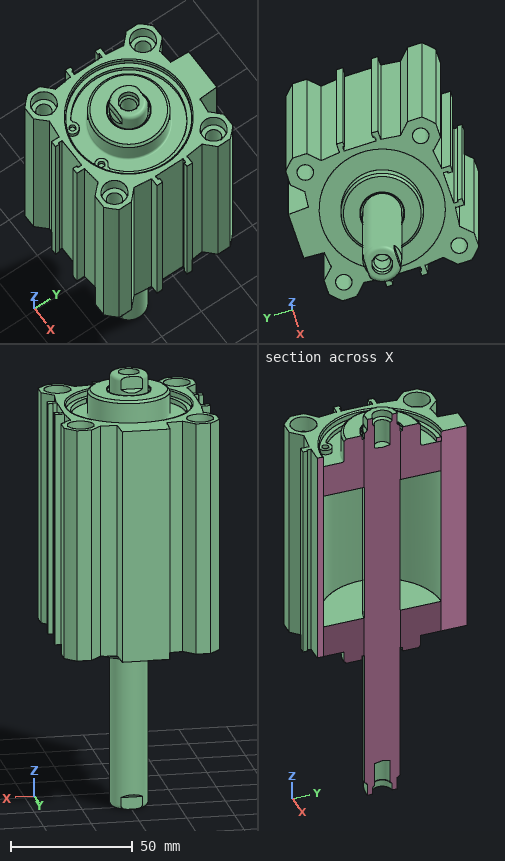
import cadquery as cq
import math


tube_width = 65.0
tube_length = 99.2
half_width = tube_width / 2
corner_arc_start = 28.0
ear_inner_edge = 21.8
wall_corner = 17.2
wall_corner_offset = 27.8
wall_offset = 28.7
wall_flat = 9.0
bore_diameter = 51.8
bore_chamfer = 0.5

hole_spacing = 50.0
hole_diameter = 6.7
counterbore_diameter = 11.0
counterbore_depth = 7.0

rail_outer = wall_flat
hook_inner = 6.2
neck_inner = 6.9
hook_thickness = 2.0

overall_depth = 70.0
block_top = overall_depth - half_width
block_base_width = 20.9
block_top_width = 20.0

collar_diameter = 34.0
collar_chamfer = 1.03
collar_foot = 1.0
flange_thickness = 15.0
upper_flange_depth = 4.8
upper_collar_rise = 6.3
lower_collar_drop = 5.8
rod_recess_diameter = 17.7
rod_recess_depth = 1.9
rod_recess_chamfer = 0.4

ring_thickness = 2.0
ring_inner_radius = 23.9
ring_ear_x = 10.3
ring_ear_y = -21.0
ring_ear_radius = 2.8
ring_ear_hole = 2.8
ring_shoulder_y = -19.4

rod_diameter = 16.0
rod_length = 186.5
rod_drop = 73.5
rod_end_fillet = 1.9
flat_width = 13.2
flat_length = 5.5
thread_diameter = 8.5
thread_depth = 3.2
drill_diameter = 6.7
drill_depth = 15.0
drill_tip_angle = 160.0

selection_margin = 0.2

upper_flange_top = tube_length - upper_flange_depth
rod_middle = rod_length / 2 - rod_drop


def cylinder(diameter, bottom, top):
    return cq.Workplane("XY").workplane(offset=bottom).circle(diameter / 2).extrude(top - bottom)


def edges_within(radius, height):
    """Selects the edges that lie at the given height and no farther out than the radius."""
    reach = radius + selection_margin
    low = (-reach, -reach, height - selection_margin)
    high = (reach, reach, height + selection_margin)
    return cq.selectors.BoxSelector(low, high, True)



def turn_clockwise(point, quarter_turns):
    x, y = point
    for _ in range(quarter_turns):
        x, y = y, -x
    return (x, y)


def tube_outline():
    """Cross-section with four corner ears; the walls between them bulge slightly."""
    corner_radius = math.hypot(half_width, corner_arc_start)
    arc_middle = corner_radius / math.sqrt(2)
    corner_start = [
        (wall_flat, wall_offset),
        (wall_corner, wall_corner_offset),
        (ear_inner_edge, half_width),
        (corner_arc_start, half_width),
    ]
    corner_end = [(y, x) for x, y in reversed(corner_start)]
    outline = cq.Workplane("XY").moveTo(-wall_flat, wall_offset)
    for corner in range(4):
        for point in corner_start:
            outline = outline.lineTo(*turn_clockwise(point, corner))
        outline = outline.threePointArc(
            turn_clockwise((arc_middle, arc_middle), corner),
            turn_clockwise(corner_end[0], corner),
        )
        for point in corner_end[1:]:
            outline = outline.lineTo(*turn_clockwise(point, corner))
    return outline.close()


def make_rail_pair():
    """Two rails on the -Y side, rooted slightly inside the wall, whose hooks face each other."""
    root = -wall_corner_offset
    hook_back = hook_thickness - half_width
    rail = (
        cq.Workplane("XY")
        .polyline([
            (rail_outer, root),
            (rail_outer, -half_width),
            (hook_inner, -half_width),
            (hook_inner, hook_back),
            (neck_inner, hook_back),
            (neck_inner, root),
        ])
        .close()
        .extrude(tube_length)
    )
    return rail.union(rail.mirror("YZ"))


def make_port_block():
    return (
        cq.Workplane("XY")
        .polyline([
            (-block_base_width / 2, wall_corner_offset),
            (block_base_width / 2, wall_corner_offset),
            (block_top_width / 2, block_top),
            (-block_top_width / 2, block_top),
        ])
        .close()
        .extrude(tube_length)
    )


def make_tube():
    tube = tube_outline().extrude(tube_length).union(make_port_block())
    rails = make_rail_pair()
    for angle in (-90, 0, 90):
        tube = tube.union(rails.rotate((0, 0, 0), (0, 0, 1), angle))
    tube = (
        tube.faces(">Z")
        .workplane(origin=(0, 0, tube_length))
        .rect(hole_spacing, hole_spacing, forConstruction=True)
        .vertices()
        .cboreHole(hole_diameter, counterbore_diameter, counterbore_depth)
    )
    tube = tube.cut(cylinder(bore_diameter, 0, tube_length))
    return tube.edges(edges_within(bore_diameter / 2, tube_length)).chamfer(bore_chamfer)



def make_cover(collar_height):
    """Flange with its outer face at Z = 0 and a collar of the given height above it."""
    flange = cylinder(bore_diameter, -flange_thickness, 0)
    collar = cylinder(collar_diameter, 0, collar_height).faces(">Z").chamfer(collar_chamfer)
    cover = flange.union(collar).cut(cylinder(rod_diameter, -flange_thickness, collar_height))
    cover = cover.cut(cylinder(rod_recess_diameter, collar_height - rod_recess_depth, collar_height))
    recess_edge = cq.selectors.RadiusNthSelector(0)
    return cover.faces(">Z").edges(recess_edge).chamfer(rod_recess_chamfer)


def make_upper_cover():
    cover = make_cover(upper_flange_depth + upper_collar_rise)
    cover = cover.edges(edges_within(collar_diameter / 2, 0)).fillet(collar_foot)
    return cover.translate((0, 0, upper_flange_top))


def make_lower_cover():
    return make_cover(lower_collar_drop).rotate((0, 0, 0), (1, 0, 0), 180)



def make_retaining_ring():
    """Open ring on the upper flange with a drilled ear at each end of its gap."""
    bore_radius = bore_diameter / 2
    disc = cq.Workplane("XY").circle(bore_radius).extrude(ring_thickness)
    gap = (
        cq.Workplane("XY")
        .center(0, -bore_radius)
        .rect(2 * ring_ear_x, bore_diameter)
        .extrude(ring_thickness)
    )
    ring = disc.cut(cq.Workplane("XY").circle(ring_inner_radius).extrude(ring_thickness)).cut(gap)
    for side in (-1, 1):
        ear = cq.Workplane("XY").center(side * ring_ear_x, ring_ear_y).circle(ring_ear_radius)
        shoulder = (
            cq.Workplane("XY")
            .moveTo(side * ring_ear_x, ring_shoulder_y)
            .lineTo(side * bore_radius, ring_shoulder_y)
            .lineTo(side * bore_radius, -bore_radius)
            .lineTo(side * ring_ear_x, -bore_radius)
            .close()
        )
        end = ear.extrude(ring_thickness).union(shoulder.extrude(ring_thickness))
        ring = ring.union(end.intersect(disc))
    ears = [(-ring_ear_x, ring_ear_y), (ring_ear_x, ring_ear_y)]
    ring = ring.cut(cq.Workplane("XY").pushPoints(ears).circle(ring_ear_hole / 2).extrude(ring_thickness))
    return ring.translate((0, 0, upper_flange_top))



def make_flat_cutters(end_z):
    """Cutters for the two wrench flats at the upper end; each flat runs out at 45 degrees."""
    rod_radius = rod_diameter / 2
    runout = rod_radius - flat_width / 2
    flat_end = end_z - flat_length
    cutter = (
        cq.Workplane("YZ")
        .polyline([
            (flat_width / 2, end_z),
            (flat_width / 2, flat_end),
            (rod_radius, flat_end - runout),
            (rod_radius, end_z),
        ])
        .close()
        .extrude(rod_radius, both=True)
    )
    return cutter.union(cutter.mirror("XZ"))


def make_end_hole(end_z):
    """Threaded bore stepping through a 45-degree cone to a drilled hole with a pointed bottom."""
    thread_radius = thread_diameter / 2
    drill_radius = drill_diameter / 2
    thread_end = end_z - thread_depth
    tip_height = drill_radius / math.tan(math.radians(drill_tip_angle / 2))
    return (
        cq.Workplane("XZ")
        .polyline([
            (0, end_z),
            (thread_radius, end_z),
            (thread_radius, thread_end),
            (drill_radius, thread_end - (thread_radius - drill_radius)),
            (drill_radius, end_z - drill_depth),
            (0, end_z - drill_depth - tip_height),
        ])
        .close()
        .revolve(360, (0, 0, 0), (0, 1, 0))
    )


def make_rod():
    """Both ends of the rod are alike, so the end cuts are mirrored about its middle."""
    half_length = rod_length / 2
    rod = cylinder(rod_diameter, -half_length, half_length).faces("|Z").edges().fillet(rod_end_fillet)
    end_cuts = make_flat_cutters(half_length).union(make_end_hole(half_length))
    rod = rod.cut(end_cuts).cut(end_cuts.mirror("XY"))
    return rod.translate((0, 0, rod_middle))


tube = make_tube()
upper_cover = make_upper_cover()
lower_cover = make_lower_cover()
retaining_ring = make_retaining_ring()
rod = make_rod()

result = cq.Compound.makeCompound([
    tube.val(),
    upper_cover.val(),
    lower_cover.val(),
    retaining_ring.val(),
    rod.val(),
])